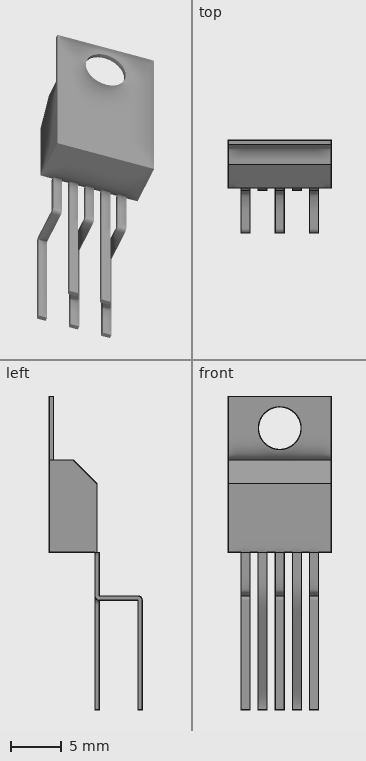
import cadquery as cq

body_width = 10.22
body_depth = 4.75
body_height = 9.15
body_chamfer = 2.35

tab_thickness = 0.45
tab_height = 6.3
tab_hole_diameter = 4.2
tab_hole_drop = 3.15

lead_count = 5
lead_pitch = 1.7
lead_width = 0.92
lead_thickness = 0.45
lead_length = 15.6
jog_drop = 4.3
jog_reach = 4.245


def make_body():
    """Block with a chamfered top front edge."""
    block = cq.Workplane("XY").box(body_width, body_depth, body_height, centered=(True, False, False))
    return block.faces(">Z").edges("<Y").chamfer(body_chamfer)


def make_tab():
    """Flat plate with one through hole."""
    plate = (
        cq.Workplane("XY")
        .box(body_width, tab_thickness, tab_height, centered=(True, False, False))
        .translate((0, body_depth - tab_thickness, body_height))
    )
    hole_height = body_height + tab_height - tab_hole_drop
    hole = (
        cq.Workplane("XZ", origin=(0, body_depth, hole_height))
        .circle(tab_hole_diameter / 2)
        .extrude(tab_thickness)
    )
    return plate.cut(hole)


def make_straight_lead(x):
    """Plain rectangular bar."""
    return (
        cq.Workplane("XY", origin=(x, 0, 0))
        .rect(lead_width, lead_thickness)
        .extrude(-lead_length)
    )


def make_bent_lead(x):
    """Bar that goes down, forward and down again; inner corners sharp, outer corners round."""
    back = lead_thickness / 2
    front = -lead_thickness / 2
    jog_top = -jog_drop
    jog_bottom = jog_top - lead_thickness
    profile = (
        cq.Workplane("YZ", origin=(x - lead_width / 2, 0, 0))
        .moveTo(back, 0)
        .lineTo(back, jog_top)
        .radiusArc((front, jog_bottom), lead_thickness)
        .lineTo(back - jog_reach, jog_bottom)
        .lineTo(back - jog_reach, -lead_length)
        .lineTo(front - jog_reach, -lead_length)
        .lineTo(front - jog_reach, jog_bottom)
        .radiusArc((back - jog_reach, jog_top), lead_thickness)
        .lineTo(front, jog_top)
        .lineTo(front, 0)
        .close()
    )
    return profile.extrude(lead_width)


body = make_body()
tab = make_tab()

leads = []
for index in range(lead_count):
    lead_x = (index - (lead_count - 1) / 2) * lead_pitch
    make_lead = make_bent_lead if index % 2 == 0 else make_straight_lead
    leads.append(make_lead(lead_x).val())

result = cq.Compound.makeCompound([body.val(), tab.val(), *leads])